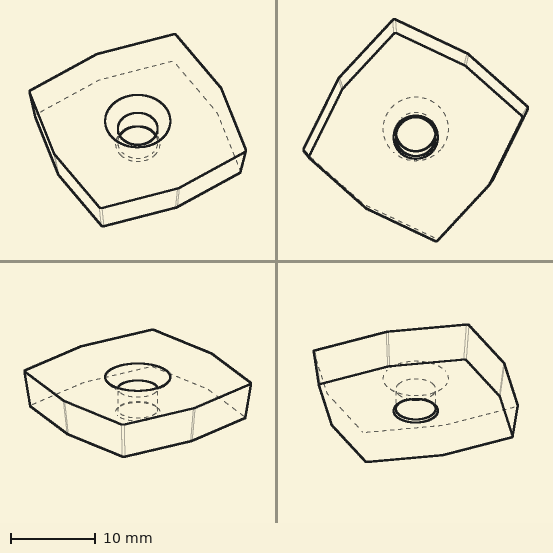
import cadquery as cq
import math

width = 21.95
thickness = 4.5
relief_angle = 7.0
side_slope = 8.2
corner_radius = 0.29
middle_radius = 0.88

hole_diameter = 4.7
seat_diameter = 7.7
seat_depth = 1.52
bottom_chamfer = 0.26

slope = math.radians(side_slope)
middle_reach = width / 2 + middle_radius * (1 / math.cos(slope) - 1)
corner_reach = middle_reach / (1 + math.tan(slope))

DIRECTIONS = ((1, 0), (0, 1), (-1, 0), (0, -1))


def round_side_edge(body, x, y, radius):
    """Round the side edge of the body nearest to the point (x, y) at mid-height."""
    nearest = cq.selectors.NearestToPointSelector((x, y, -thickness / 2))
    return body.edges("not #Z").edges(nearest).fillet(radius)


def make_body():
    """Eight-sided plate with its top at z = 0, tapered downward and rounded at every vertex."""
    middles = [(middle_reach * x, middle_reach * y) for x, y in DIRECTIONS]
    corners = [(corner_reach * (x - y), corner_reach * (x + y)) for x, y in DIRECTIONS]
    outline = [point for pair in zip(middles, corners) for point in pair]
    body = cq.Workplane("XY").polyline(outline).close().extrude(-thickness, taper=relief_angle)
    for x, y in middles:
        body = round_side_edge(body, x, y, middle_radius)
    for x, y in corners:
        body = round_side_edge(body, x, y, corner_radius)
    return body


def make_hole():
    """Through bore with a conical screw seat at the top and a chamfer at the bottom."""
    hole_radius = hole_diameter / 2
    profile = [
        (0, 0),
        (seat_diameter / 2, 0),
        (hole_radius, -seat_depth),
        (hole_radius, bottom_chamfer - thickness),
        (hole_radius + bottom_chamfer, -thickness),
        (0, -thickness),
    ]
    return cq.Workplane("XZ").polyline(profile).close().revolve(360, (0, 0, 0), (0, 1, 0))


result = make_body().cut(make_hole())